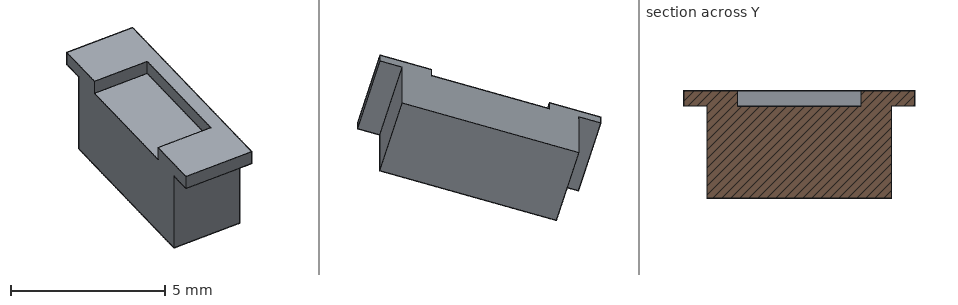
import cadquery as cq

flange_length = 7.5
depth = 2.5
height = 3.5

body_length = 6.0
flange_thickness = 0.5
body_height = height - flange_thickness

recess_length = 4.0
back_wall = 0.5
recess_width = depth - back_wall
recess_depth = 0.5


def block(length, width, block_height, front_y, bottom_z):
    """Box centred on X, with its front face at front_y and its base at bottom_z."""
    return (
        cq.Workplane("XY")
        .box(length, width, block_height, centered=(True, False, False))
        .translate((0, front_y, bottom_z))
    )


front_face_y = -depth / 2

body = block(body_length, depth, body_height, front_face_y, 0)
flange = block(flange_length, depth, flange_thickness, front_face_y, body_height)
recess = block(recess_length, recess_width, recess_depth, front_face_y, height - recess_depth)

result = body.union(flange).cut(recess)